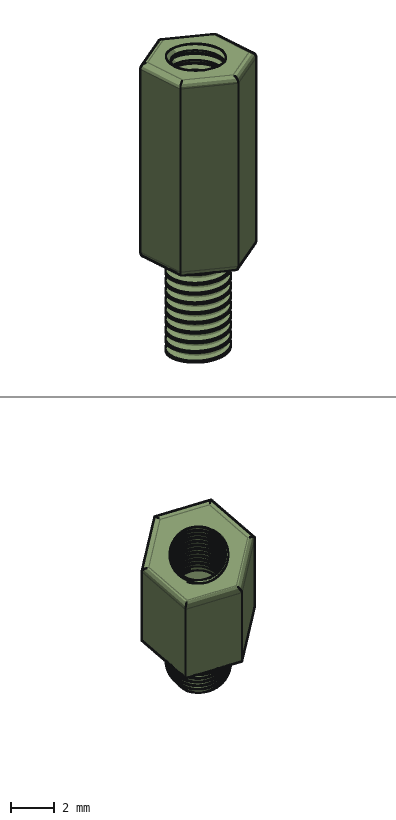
import cadquery as cq
import math

ACROSS_FLATS = 4.7
BODY_LENGTH = 10.0
EDGE_FILLET = 0.3

MAJOR_RADIUS = 3.0 / 2
MINOR_RADIUS = 2.52 / 2
PITCH = 0.5
STUD_CREST_WIDTH = 0.1
STUD_FLANK_ANGLE = math.radians(15)
HOLE_CREST_WIDTH = PITCH / 4
GROOVE_OVERCUT = 0.04

STUD_LENGTH = 5.0

HOLE_DEPTH = 6.0
TIP_ANGLE = math.radians(118)


def wind_groove(section, helix_radius, start_z, end_z):
    """Sweep a groove section that lies in the XZ plane up a right-handed helix from +X."""
    helix = cq.Wire.makeHelix(PITCH, end_z - start_z, helix_radius, center=cq.Vector(0, 0, start_z))
    return section.close().sweep(cq.Workplane(obj=helix), isFrenet=True)


def stud_groove(start_z, end_z):
    """Groove cutter with a rounded root and flanks that spread outward."""
    half_width = (PITCH - STUD_CREST_WIDTH) / 2 + GROOVE_OVERCUT * math.tan(STUD_FLANK_ANGLE)
    mouth_x = MAJOR_RADIUS + GROOVE_OVERCUT
    inward = -math.cos(STUD_FLANK_ANGLE)
    upward = math.sin(STUD_FLANK_ANGLE)
    section = (
        cq.Workplane("XZ")
        .moveTo(mouth_x, start_z - half_width)
        .spline(
            [(MINOR_RADIUS, start_z), (mouth_x, start_z + half_width)],
            tangents=[(inward, upward), (-inward, upward)],
            includeCurrent=True,
        )
    )
    return wind_groove(section, MAJOR_RADIUS, start_z, end_z)


def hole_groove(start_z, end_z):
    """V-shaped groove cutter with a sharp root."""
    crest_half_width = (PITCH - HOLE_CREST_WIDTH) / 2
    half_width = crest_half_width * (1 + GROOVE_OVERCUT / (MAJOR_RADIUS - MINOR_RADIUS))
    mouth_x = MINOR_RADIUS - GROOVE_OVERCUT
    section = (
        cq.Workplane("XZ")
        .moveTo(mouth_x, start_z - half_width)
        .lineTo(MAJOR_RADIUS, start_z)
        .lineTo(mouth_x, start_z + half_width)
    )
    return wind_groove(section, MINOR_RADIUS, start_z, end_z)


def threaded_stud():
    """Stud below the body; its groove ends on +X at the body's underside."""
    shaft = cq.Workplane("XY").circle(MAJOR_RADIUS).extrude(-STUD_LENGTH)
    return shaft.cut(stud_groove(-STUD_LENGTH - PITCH, 0))


def hex_body():
    """Hexagonal prism with corners on the Y axis and rounded end edges."""
    corner_radius = ACROSS_FLATS / 2 / math.cos(math.pi / 6)
    corner_angles = [math.radians(90 + 60 * i) for i in range(6)]
    corners = [(corner_radius * math.cos(a), corner_radius * math.sin(a)) for a in corner_angles]
    prism = cq.Workplane("XY").polyline(corners).close().extrude(BODY_LENGTH)
    return prism.faces("<Z or >Z").edges().fillet(EDGE_FILLET)


def drill():
    """Minor-diameter bore with a conical tip, revolved about the Z axis."""
    tip_length = MINOR_RADIUS / math.tan(TIP_ANGLE / 2)
    floor_z = BODY_LENGTH - HOLE_DEPTH
    return (
        cq.Workplane("YZ")
        .moveTo(0, BODY_LENGTH)
        .lineTo(MINOR_RADIUS, BODY_LENGTH)
        .lineTo(MINOR_RADIUS, floor_z)
        .lineTo(0, floor_z - tip_length)
        .close()
        .revolve(360, (0, 0), (0, 1))
    )


def tapped_body():
    """Body with a blind tapped hole; the groove crosses the top face on -X."""
    thread_start = BODY_LENGTH - HOLE_DEPTH + PITCH / 2
    thread_end = BODY_LENGTH + PITCH / 2
    bored = hex_body().cut(drill())
    return bored.cut(hole_groove(thread_start, thread_end))


result = tapped_body().union(threaded_stud()).solids()